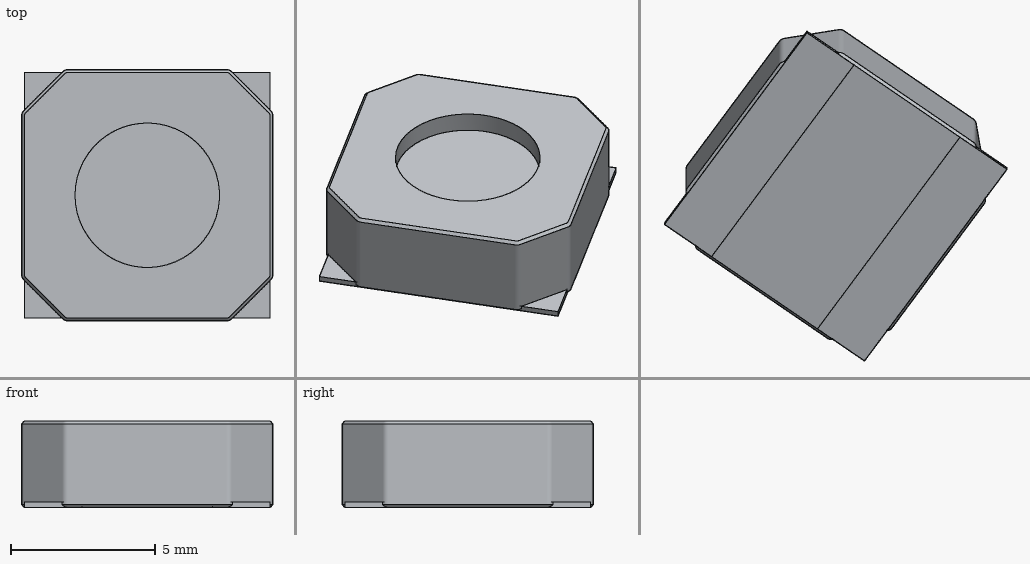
import cadquery as cq

housing_side = 8.7
housing_height = 3.0
corner_cut = 1.5
corner_round = 0.25
rim_bevel = 0.1
pocket_diameter = 5.0
pocket_depth = 0.7

terminal_thickness = 0.2
terminal_length = housing_side - 2 * rim_bevel
terminal_width = 2.0
terminal_offset = (terminal_length - terminal_width) / 2


def make_terminal(side):
    """Flat strip lying on the base plane; side is -1 or +1 along X."""
    return (
        cq.Workplane("XY")
        .center(side * terminal_offset, 0)
        .rect(terminal_width, terminal_length)
        .extrude(terminal_thickness)
    )


def make_housing(terminals):
    """Bevelled octagonal block with its pocket and the recesses for the terminals."""
    block = (
        cq.Workplane("XY")
        .rect(housing_side, housing_side)
        .extrude(housing_height)
        .edges("|Z")
        .chamfer(corner_cut)
        .edges("|Z")
        .fillet(corner_round)
        .faces("<Z or >Z")
        .chamfer(rim_bevel)
    )
    housing = block.faces(">Z").workplane().hole(pocket_diameter, pocket_depth)
    for terminal in terminals:
        housing = housing.cut(terminal)
    return housing.solids()


terminals = [make_terminal(side) for side in (-1, 1)]
housing = make_housing(terminals)

result = cq.Compound.makeCompound([housing.val(), *[terminal.val() for terminal in terminals]])